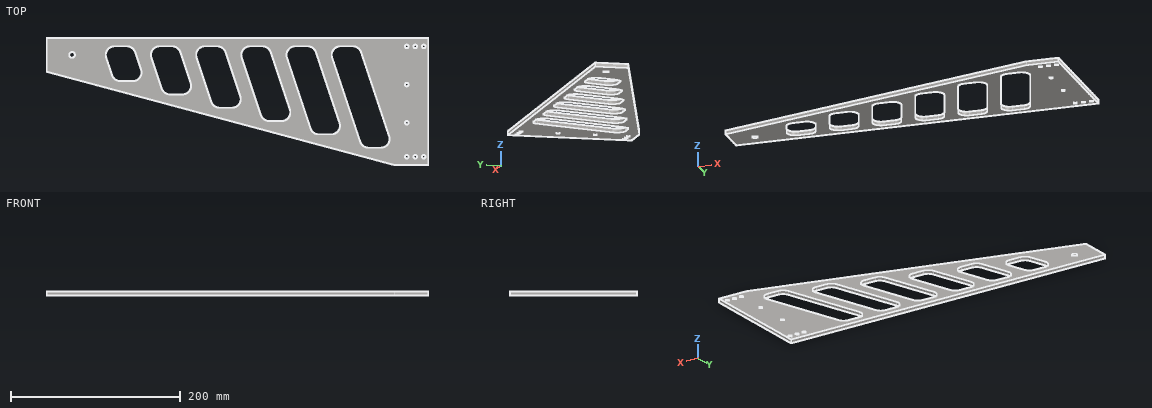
import cadquery as cq

LENGTH = 450
WIDTH = 150
THICKNESS = 5
TIP_WIDTH = 40
BASE_FLAT = 40

LEFT = -LENGTH / 2
RIGHT = LENGTH / 2
REAR = WIDTH / 2
FRONT = -WIDTH / 2
TAPER = (WIDTH - TIP_WIDTH) / (LENGTH - BASE_FLAT)

WINDOW_COUNT = 6
WINDOW_PITCH = 53.25
WINDOW_WIDTH = 36
WINDOW_SLANT = 1 / 3
WINDOW_RADIUS = 10
FIRST_WINDOW_OFFSET = 66
REAR_RAIL = 10
FRONT_RAIL = 10.6

TIP_HOLE_DIAMETER = 6.5
TIP_HOLE_FROM_END = 30
BASE_HOLE_DIAMETER = 4
BASE_ROW_INSET = 10
BASE_ROW_COUNT = 3
BASE_ROW_PITCH = 10
BASE_ROW_FROM_END = 5.5
BASE_COLUMN_COUNT = 2
BASE_COLUMN_PITCH = 45


def make_plate():
    outline = [
        (LEFT, REAR),
        (RIGHT, REAR),
        (RIGHT, FRONT),
        (RIGHT - BASE_FLAT, FRONT),
        (LEFT, REAR - TIP_WIDTH),
    ]
    return cq.Workplane("XY").polyline(outline).close().extrude(THICKNESS)


def make_window(index):
    """Cutter for one window; its slanted left side runs until FRONT_RAIL from the tapered edge."""
    offset = FIRST_WINDOW_OFFSET + index * WINDOW_PITCH
    depth_without_slant = TIP_WIDTH + TAPER * offset - FRONT_RAIL - REAR_RAIL
    depth = depth_without_slant / (1 - TAPER * WINDOW_SLANT)
    x_rear = LEFT + offset
    x_front = x_rear + depth * WINDOW_SLANT
    y_rear = REAR - REAR_RAIL
    y_front = y_rear - depth
    corners = [
        (x_rear, y_rear),
        (x_rear + WINDOW_WIDTH, y_rear),
        (x_front + WINDOW_WIDTH, y_front),
        (x_front, y_front),
    ]
    window = cq.Workplane("XY").polyline(corners).close().extrude(THICKNESS)
    return window.edges("|Z").fillet(WINDOW_RADIUS)


def drill(plate, points, diameter):
    drills = cq.Workplane("XY").pushPoints(points).circle(diameter / 2).extrude(THICKNESS)
    return plate.cut(drills)


def base_hole_points():
    rear_row_y = REAR - BASE_ROW_INSET
    front_row_y = FRONT + BASE_ROW_INSET
    row_xs = [RIGHT - BASE_ROW_FROM_END - i * BASE_ROW_PITCH for i in range(BASE_ROW_COUNT)]
    column_ys = [rear_row_y - (i + 1) * BASE_COLUMN_PITCH for i in range(BASE_COLUMN_COUNT)]
    row_points = [(x, y) for x in row_xs for y in (front_row_y, rear_row_y)]
    column_points = [(row_xs[-1], y) for y in column_ys]
    return row_points + column_points


result = make_plate()
for window_index in range(WINDOW_COUNT):
    result = result.cut(make_window(window_index))
tip_hole = (LEFT + TIP_HOLE_FROM_END, REAR - TIP_WIDTH / 2)
result = drill(result, [tip_hole], TIP_HOLE_DIAMETER)
result = drill(result, base_hole_points(), BASE_HOLE_DIAMETER)